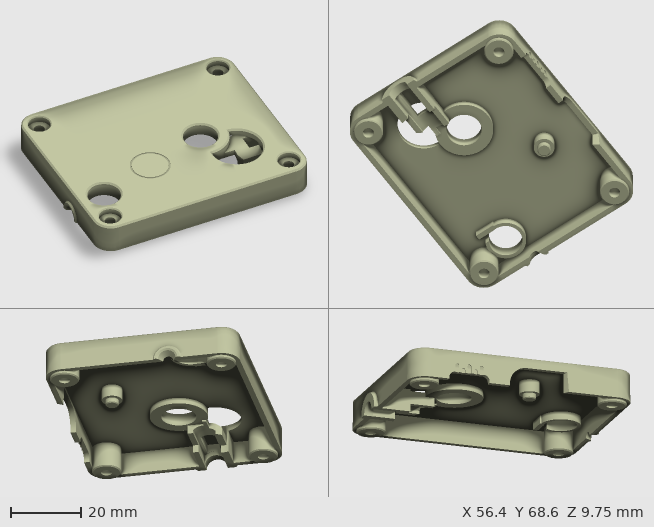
import cadquery as cq
import math

LENGTH_X = 56.4
REAR_PORT_PROTRUSION = 0.95
FRONT_PORT_PROTRUSION = 0.5
LENGTH_Y = 68.55 - REAR_PORT_PROTRUSION - FRONT_PORT_PROTRUSION
WALL_HEIGHT = 8.8
WALL = 1.65
PLATE = 2.1
CORNER_RADIUS = 5.35
DRAFT_ANGLE = 0.7
TOP_CHAMFER = 0.5
PLATE_BOTTOM = WALL_HEIGHT - PLATE
FRONT_Y = -LENGTH_Y / 2
REAR_Y = LENGTH_Y / 2
LEFT_X = -LENGTH_X / 2

SCREW_PITCH_X = 45.65
SCREW_PITCH_Y = 56.7
PILLAR_RADIUS = 4.2
FOOT_HEIGHT = 0.95
FOOT_CHAMFER = 0.35
SCREW_RADIUS = 1.6
HEAD_RADIUS = 3.2
HEAD_DEPTH = 2.0
HEAD_CHAMFER = 0.35

OPENING_CHAMFER = 0.5
COLLAR_BOTTOM = 4.9
KNOB_X, KNOB_Y, KNOB_RADIUS = 2.05, 10.55, 5.0
COLLAR_RADIUS = 8.3
DIAL_X, DIAL_Y, DIAL_RADIUS = 11.1, 17.6, 7.55
BUTTON_X, BUTTON_Y, BUTTON_RADIUS = 13.3, -25.6, 4.8
BUTTON_SLEEVE_RADIUS = BUTTON_RADIUS + 1.0
BUTTON_SLEEVE_BOTTOM = 4.25
NOTCH_FRONT_Y, NOTCH_REAR_Y = -22.95, -20.9
NOTCH_WEB_RIGHT_X = 19.25
NOTCH_WEB_THICKNESS = 1.5

RING_X, RING_Y = 7.8, -8.2
RING_OUTER_RADIUS = 5.8
RING_WIDTH = 0.55
RING_DEPTH = 0.2

PORT_X = 8.1
FRONT_PORT_RADIUS = 4.25
FRONT_PORT_BEVEL = 0.55
PORT_EMBED = 0.15
FUNNEL_LIP_RADIUS = 3.1
FUNNEL_LIP_DEPTH = 0.3
FUNNEL_RADIUS = 2.55
CABLE_RADIUS = 1.45
REAR_PORT_RADIUS = 6.1
REAR_PORT_BEVEL = 0.55

HOUSING_HALF_WIDTH = 4.7
HOUSING_BOTTOM, HOUSING_TOP = 2.25, 6.1
HOUSING_CROWN_RADIUS = 8.5
HOUSING_LEFT_Y = 16.05
HOUSING_RIGHT_Y = 17.8
HOUSING_CORNER_X, HOUSING_CORNER_Y = 1.7, 1.0
HEADER_RIGHT_X = 13.45
HEADER_Y = 23.3
JACK_HALF_WIDTH = HOUSING_HALF_WIDTH - WALL
JACK_RADIUS = 4.45
TONGUE_OVERHANG = 1.2
TONGUE_Y = 13.7
WINDOW_LEFT, WINDOW_RIGHT = 5.8, 10.1
WINDOW_Y = 22.1

VENT_CENTER_Y = 16.6
VENT_WIDTH = 12.1
VENT_HEIGHT = 2.25
VENT_RADIUS = 1.7
SLIT_PITCH = 1.85
SLIT_WIDTH = 1.1
SLIT_DEPTH = 0.3
TALL_SLIT_TOP = 4.9
SHORT_SLIT_TOP = 3.6
GATE_REAR_Y = 4.4
GATE_FRONT_Y = -12.35
GATE_HEIGHT = 5.75
GATE_RADIUS = 5.15
GATE_FLARE_TOP = 0.6
GATE_FLARE_BOTTOM = 1.1

POST_X, POST_Y = -13.7, -6.6
POST_RADIUS, POST_BOTTOM = 2.95, 3.0
PIN_RADIUS, PIN_BOTTOM = 1.9, 1.45
PIN_CHAMFER = 0.3

CLEARANCE = 0.7


def cylinder(x, y, radius, bottom, top):
    return cq.Workplane("XY", origin=(x, y, bottom)).circle(radius).extrude(top - bottom)


def block(x_range, y_range, z_range):
    sizes = [high - low for low, high in (x_range, y_range, z_range)]
    corner = (x_range[0], y_range[0], z_range[0])
    return cq.Workplane("XY", origin=corner).box(*sizes, centered=False)


def drafted_block(inset, height):
    return (
        cq.Workplane("XY")
        .sketch()
        .rect(LENGTH_X - 2 * inset, LENGTH_Y - 2 * inset)
        .vertices()
        .fillet(CORNER_RADIUS - inset)
        .finalize()
        .extrude(height, taper=DRAFT_ANGLE)
    )


def chamfered_bore(x, y, radius, chamfer, bottom):
    """Bore down from the plate top, widened by a 45 degree chamfer at its mouth."""
    bore = cylinder(x, y, radius, bottom, WALL_HEIGHT)
    mouth = cq.Solid.makeCone(
        radius, radius + chamfer, chamfer, pnt=cq.Vector(x, y, WALL_HEIGHT - chamfer)
    )
    return bore.union(cq.Workplane(mouth))


def port_cone(start_y, end_y, start_radius, end_radius):
    """Cone on the port axis running from start_y to end_y, cut off below the rim."""
    direction = math.copysign(1, end_y - start_y)
    cone = cq.Solid.makeCone(
        start_radius,
        end_radius,
        abs(end_y - start_y),
        pnt=cq.Vector(PORT_X, start_y, 0),
        dir=cq.Vector(0, direction, 0),
    )
    above_rim = block((-LENGTH_X, LENGTH_X), (-LENGTH_Y, LENGTH_Y), (0, WALL_HEIGHT))
    return cq.Workplane(cone).intersect(above_rim)


def port_cylinder(radius, start_y, end_y):
    """Half cylinder on the port axis, above the rim."""
    full = cq.Workplane("XZ", origin=(PORT_X, end_y, 0)).circle(radius).extrude(end_y - start_y)
    above_rim = block((PORT_X - radius, PORT_X + radius), (start_y, end_y), (0, radius))
    return full.intersect(above_rim)


def make_shell():
    outer = drafted_block(0, WALL_HEIGHT).faces(">Z").edges().chamfer(TOP_CHAMFER)
    return outer.cut(drafted_block(WALL, PLATE_BOTTOM))


def screw_points():
    return [
        (side_x * SCREW_PITCH_X / 2, side_y * SCREW_PITCH_Y / 2)
        for side_x in (-1, 1)
        for side_y in (-1, 1)
    ]


def add_pillars(body):
    for x, y in screw_points():
        pillar = cylinder(x, y, PILLAR_RADIUS, -FOOT_HEIGHT, PLATE_BOTTOM)
        body = body.union(pillar.faces("<Z").edges().chamfer(FOOT_CHAMFER))
    return body


def cut_screw_holes(body):
    for x, y in screw_points():
        body = body.cut(cylinder(x, y, SCREW_RADIUS, -FOOT_HEIGHT, WALL_HEIGHT))
        body = body.cut(chamfered_bore(x, y, HEAD_RADIUS, HEAD_CHAMFER, WALL_HEIGHT - HEAD_DEPTH))
    return body


def make_collar_edge():
    """Collar kept around the knob where it bites into the dial opening, bevelled at the top."""
    collar = cylinder(KNOB_X, KNOB_Y, COLLAR_RADIUS, COLLAR_BOTTOM, WALL_HEIGHT)
    return collar.faces(">Z").edges().chamfer(OPENING_CHAMFER)


def cut_plate_openings(body):
    dial = chamfered_bore(DIAL_X, DIAL_Y, DIAL_RADIUS, OPENING_CHAMFER, PLATE_BOTTOM)
    body = body.cut(dial.cut(make_collar_edge()))
    for x, y, radius in (
        (KNOB_X, KNOB_Y, KNOB_RADIUS),
        (BUTTON_X, BUTTON_Y, BUTTON_RADIUS),
    ):
        body = body.cut(chamfered_bore(x, y, radius, OPENING_CHAMFER, 0))
    return body


def add_collar(body):
    return body.union(cylinder(KNOB_X, KNOB_Y, COLLAR_RADIUS, COLLAR_BOTTOM, PLATE_BOTTOM))


def add_button_sleeve(body):
    """Sleeve below the button opening, notched toward +X beside a straight web."""
    heights = (BUTTON_SLEEVE_BOTTOM, PLATE_BOTTOM)
    sleeve = cylinder(BUTTON_X, BUTTON_Y, BUTTON_SLEEVE_RADIUS, *heights)
    web_rear_y = NOTCH_REAR_Y + NOTCH_WEB_THICKNESS
    web = block((BUTTON_X, NOTCH_WEB_RIGHT_X), (NOTCH_REAR_Y, web_rear_y), heights)
    notch = block((BUTTON_X, NOTCH_WEB_RIGHT_X), (NOTCH_FRONT_Y, NOTCH_REAR_Y), heights)
    return body.union(sleeve.union(web).cut(notch))


def cut_ring_groove(body):
    groove = (
        cq.Workplane("XY", origin=(RING_X, RING_Y, WALL_HEIGHT))
        .circle(RING_OUTER_RADIUS)
        .circle(RING_OUTER_RADIUS - RING_WIDTH)
        .extrude(-RING_DEPTH)
    )
    return body.cut(groove)


def add_jack_housing(body):
    """Flat left half, crowned right half with a tongue, and a header rising to the plate."""
    inside_y = REAR_Y - WALL
    left = block(
        (PORT_X - HOUSING_HALF_WIDTH, PORT_X),
        (HOUSING_LEFT_Y, inside_y),
        (HOUSING_BOTTOM, HOUSING_TOP),
    )
    crown_axis_z = HOUSING_TOP - HOUSING_CROWN_RADIUS
    crown = (
        cq.Workplane("XZ", origin=(PORT_X, inside_y, crown_axis_z))
        .circle(HOUSING_CROWN_RADIUS)
        .extrude(inside_y - TONGUE_Y)
    )
    right_plan = (
        cq.Workplane("XY", origin=(0, 0, HOUSING_BOTTOM))
        .moveTo(PORT_X, inside_y)
        .lineTo(PORT_X, TONGUE_Y)
        .lineTo(PORT_X + TONGUE_OVERHANG, TONGUE_Y)
        .lineTo(PORT_X + TONGUE_OVERHANG, HOUSING_RIGHT_Y)
        .lineTo(PORT_X + HOUSING_HALF_WIDTH - HOUSING_CORNER_X, HOUSING_RIGHT_Y)
        .lineTo(PORT_X + HOUSING_HALF_WIDTH, HOUSING_RIGHT_Y + HOUSING_CORNER_Y)
        .lineTo(PORT_X + HOUSING_HALF_WIDTH, inside_y)
        .close()
        .extrude(WALL_HEIGHT)
    )
    window = block((WINDOW_LEFT, WINDOW_RIGHT), (WINDOW_Y, inside_y), (0, WALL_HEIGHT))
    header = block(
        (PORT_X - HOUSING_HALF_WIDTH, HEADER_RIGHT_X), (HEADER_Y, inside_y), (0, PLATE_BOTTOM)
    ).cut(cylinder(DIAL_X, DIAL_Y, DIAL_RADIUS, 0, PLATE_BOTTOM))
    housing = left.union(crown.intersect(right_plan)).union(header).cut(window)
    body = body.union(housing)
    bore = port_cylinder(JACK_RADIUS, 0, inside_y)
    bore_sides = block(
        (PORT_X - JACK_HALF_WIDTH, PORT_X + JACK_HALF_WIDTH), (0, inside_y), (0, WALL_HEIGHT)
    )
    return body.cut(bore.intersect(bore_sides))


def add_port_bosses(body):
    front_face = FRONT_Y - FRONT_PORT_PROTRUSION
    rear_face = REAR_Y + REAR_PORT_PROTRUSION
    front = port_cone(
        FRONT_Y + PORT_EMBED, front_face, FRONT_PORT_RADIUS, FRONT_PORT_RADIUS - FRONT_PORT_BEVEL
    )
    rear = port_cone(
        REAR_Y - PORT_EMBED, rear_face, REAR_PORT_RADIUS, REAR_PORT_RADIUS - REAR_PORT_BEVEL
    )
    return body.union(front).union(rear)


def cut_port_bores(body):
    front_face = FRONT_Y - FRONT_PORT_PROTRUSION
    funnel_start = front_face + FUNNEL_LIP_DEPTH
    funnel_end = FRONT_Y + WALL
    lip = port_cone(front_face, funnel_start, FUNNEL_LIP_RADIUS, FUNNEL_RADIUS)
    funnel = port_cone(funnel_start, funnel_end, FUNNEL_RADIUS, CABLE_RADIUS)
    cable = port_cylinder(CABLE_RADIUS, FRONT_Y, funnel_end + CLEARANCE)
    jack = port_cylinder(JACK_HALF_WIDTH, REAR_Y - 2 * WALL, REAR_Y + REAR_PORT_PROTRUSION)
    return body.cut(lip).cut(funnel).cut(cable).cut(jack)


def cut_vent(body):
    half = VENT_WIDTH / 2
    bend = VENT_RADIUS * (1 - math.sqrt(0.5))
    arc_start = VENT_HEIGHT - VENT_RADIUS
    vent = (
        cq.Workplane("YZ", origin=(LEFT_X, VENT_CENTER_Y, 0))
        .moveTo(-half, 0)
        .lineTo(-half, arc_start)
        .threePointArc((bend - half, VENT_HEIGHT - bend), (VENT_RADIUS - half, VENT_HEIGHT))
        .lineTo(half - VENT_RADIUS, VENT_HEIGHT)
        .threePointArc((half - bend, VENT_HEIGHT - bend), (half, arc_start))
        .lineTo(half, 0)
        .close()
        .extrude(WALL + CLEARANCE)
    )
    return body.cut(vent)


def cut_slits(body):
    """Row of alternating tall and short round-topped grooves above the vent."""
    wall_lean = VENT_HEIGHT * math.tan(math.radians(DRAFT_ANGLE))
    for index in range(-2, 3):
        top = TALL_SLIT_TOP if index % 2 == 0 else SHORT_SLIT_TOP
        shoulder = top - SLIT_WIDTH / 2
        slit = (
            cq.Workplane("YZ", origin=(LEFT_X, VENT_CENTER_Y + index * SLIT_PITCH, 0))
            .moveTo(-SLIT_WIDTH / 2, VENT_HEIGHT)
            .lineTo(-SLIT_WIDTH / 2, shoulder)
            .threePointArc((0, top), (SLIT_WIDTH / 2, shoulder))
            .lineTo(SLIT_WIDTH / 2, VENT_HEIGHT)
            .close()
            .extrude(wall_lean + SLIT_DEPTH)
        )
        body = body.cut(slit)
    return body


def cut_gate(body):
    """Large left opening: rounded rear corner, front jamb flaring outward."""
    bend = GATE_RADIUS * (1 - math.sqrt(0.5))
    gate = (
        cq.Workplane("YZ", origin=(LEFT_X, 0, 0))
        .moveTo(GATE_FRONT_Y, 0)
        .lineTo(GATE_FRONT_Y, GATE_HEIGHT)
        .lineTo(GATE_REAR_Y - GATE_RADIUS, GATE_HEIGHT)
        .threePointArc(
            (GATE_REAR_Y - bend, GATE_HEIGHT - bend), (GATE_REAR_Y, GATE_HEIGHT - GATE_RADIUS)
        )
        .lineTo(GATE_REAR_Y, 0)
        .close()
        .extrude(WALL + CLEARANCE)
    )
    flare = (
        cq.Workplane("YZ", origin=(LEFT_X, GATE_FRONT_Y, 0))
        .polyline(
            [
                (CLEARANCE, 0),
                (CLEARANCE, GATE_HEIGHT),
                (-GATE_FLARE_TOP, GATE_HEIGHT),
                (-GATE_FLARE_BOTTOM, 0),
            ]
        )
        .close()
        .workplane(offset=WALL)
        .polyline([(CLEARANCE, 0), (CLEARANCE, GATE_HEIGHT), (0, GATE_HEIGHT), (0, 0)])
        .close()
        .loft(ruled=True)
    )
    return body.cut(gate).cut(flare)


def add_post(body):
    post = cylinder(POST_X, POST_Y, POST_RADIUS, POST_BOTTOM, PLATE_BOTTOM)
    pin = cylinder(POST_X, POST_Y, PIN_RADIUS, PIN_BOTTOM, POST_BOTTOM)
    return body.union(post).union(pin.faces("<Z").edges().chamfer(PIN_CHAMFER))


result = make_shell()
result = add_pillars(result)
result = add_jack_housing(result)
result = add_collar(result)
result = add_button_sleeve(result)
result = add_post(result)
result = add_port_bosses(result)
result = cut_port_bores(result)
result = cut_plate_openings(result)
result = cut_screw_holes(result)
result = cut_ring_groove(result)
result = cut_vent(result)
result = cut_slits(result)
result = cut_gate(result)